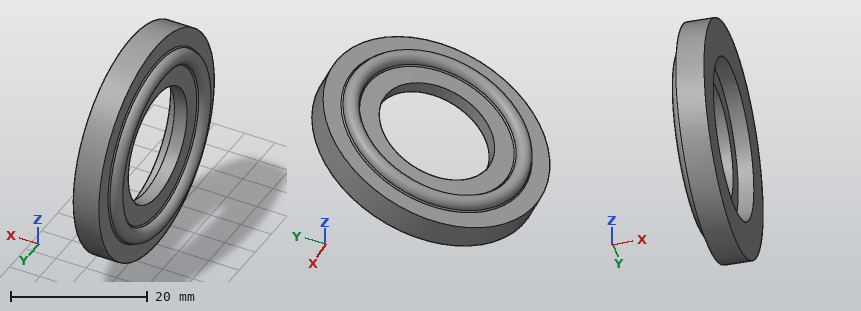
import cadquery as cq

outer_radius = 18.0
rim_thickness = 4.25

bead_height = 1.55
bead_radius = 1.22
bead_center_radius = 13.7
root_fillet = 0.2
bead_outer = bead_center_radius + bead_radius
bead_inner = bead_center_radius - bead_radius
crown_start = bead_radius - bead_height

bore_radius = 9.15
web_step = -crown_start - root_fillet
cone_rise = 0.07
lip_height = web_step + cone_rise
bore_length = 2.1
recess_floor = bore_length - lip_height
recess_radius = bead_inner - root_fillet


def make_washer():
    """Revolve the half section, drawn with X along the axis and Y as the radius."""
    section = (
        cq.Workplane("XY")
        .moveTo(-lip_height, bore_radius)
        .lineTo(-web_step, bead_inner - root_fillet)
        .radiusArc((crown_start, bead_inner), root_fillet)
        .threePointArc((-bead_height, bead_center_radius), (crown_start, bead_outer))
        .lineTo(-root_fillet, bead_outer)
        .radiusArc((0, bead_outer + root_fillet), root_fillet)
        .lineTo(0, outer_radius)
        .lineTo(rim_thickness, outer_radius)
        .lineTo(rim_thickness, recess_radius)
        .lineTo(recess_floor, recess_radius)
        .lineTo(recess_floor, bore_radius)
        .close()
    )
    return section.revolve(360, (0, 0, 0), (1, 0, 0))


center_x = (rim_thickness - bead_height) / 2
result = make_washer().translate((-center_x, 0, 0))